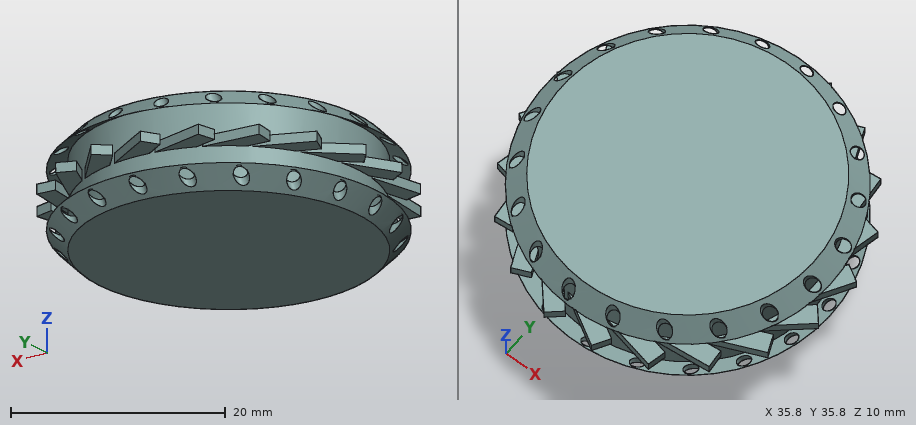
import cadquery as cq

core_radius = 15.0
rim_radius = 17.0
height = 10.0
half_height = height / 2
flange_height = 2.0
flange_root_thickness = 1.0

vane_count = 20
pitch_angle = 360 / vane_count
vane_length = 8.0
vane_width = 2.0
vane_thickness = 1.0
vane_lean = 60

hole_diameter = 1.4
hole_slant = 18.4
hole_circle_radius = (core_radius + rim_radius) / 2
hole_length = 2 * height


def around_axis(shape):
    """Yield copies of the shape at every pitch angle around the Z axis."""
    for index in range(vane_count):
        yield shape.rotate((0, 0, 0), (0, 0, 1), index * pitch_angle)


def disc_with_flanges():
    """Revolve the outline: each flange is a sheet tapering to a knife-edge rim."""
    rim_z = half_height - flange_height
    root_z = half_height - flange_root_thickness
    outline = [
        (0, half_height),
        (core_radius, half_height),
        (rim_radius, rim_z),
        (core_radius, root_z),
        (core_radius, -root_z),
        (rim_radius, -rim_z),
        (core_radius, -half_height),
        (0, -half_height),
    ]
    return cq.Workplane("XZ").polyline(outline).close().revolve(360, (0, 0, 0), (0, 1, 0))


def slanted_hole():
    """Rod standing just outside the disc wall, tipped sideways about its radial line."""
    rod = cq.Workplane("XY").circle(hole_diameter / 2).extrude(hole_length / 2, both=True)
    return rod.rotate((0, 0, 0), (1, 0, 0), hole_slant).translate((hole_circle_radius, 0, 0))


def leaning_vane():
    """Bar centred on the disc wall, turned away from the radial direction."""
    bar = cq.Workplane("XY").box(vane_length, vane_width, vane_thickness)
    return bar.rotate((0, 0, 0), (0, 0, 1), vane_lean).translate((core_radius, 0, 0))


result = disc_with_flanges()

for hole in around_axis(slanted_hole()):
    result = result.cut(hole)

for vane in around_axis(leaning_vane()):
    result = result.union(vane)